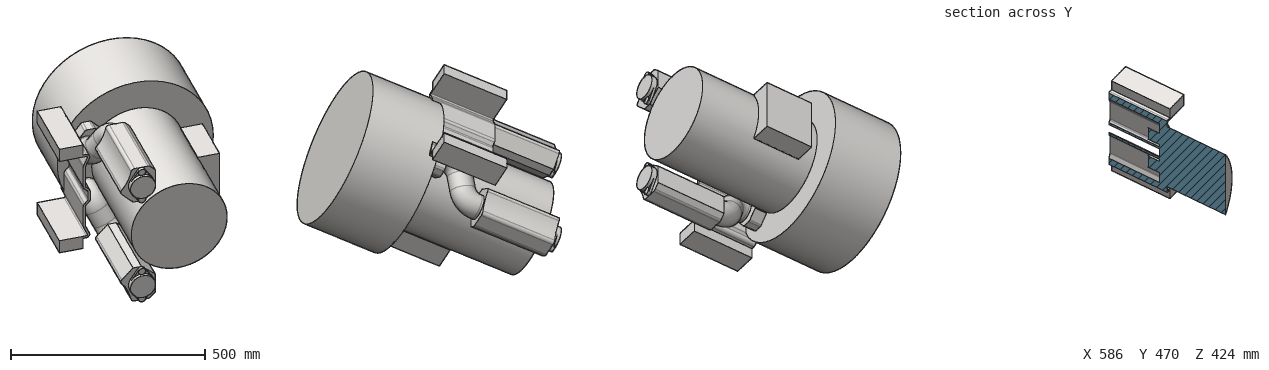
import cadquery as cq
import math


length = 586.0
depth = 470.0
drum_length = 206.5
drum_radius = 424.0 / 2
motor_end = 568.0
motor_radius = 130.0

box_x = 250.0
box_length = 140.5
box_front_y = 108.5
box_back_y = 167.5
box_height = 150.0

foot_end = 364.5
foot_x = 182.0
sheet = 6.5
face_y = -193.5
groove_y = -180.0
groove_half = 14.0
band_top = 94.0
flange_bend_y = -179.0
rail_bend_radius = 6.5
groove_bend_radius = 9.0
rail_bottom = 124.0
rail_height = 38.0
rail_back_y = -194.0
rail_front_y = drum_radius - depth

block_end = 242.0
block_top = 118.0
block_shoulder = 64.5
block_front_y = face_y + sheet
block_top_front_y = -146.5
block_top_back_y = -121.5
block_back_y = -95.5
block_notch_half = 29.5
block_edge_round = 8.0
pipe_radius = 33.5
pipe_bend_radius = 50.0
pipe_lead = 38.5
port_y = -145.5
port_z = 65.5

silencer_x = 361.5
silencer_end = 569.5
silencer_y = -104.5
silencer_z = 155.5
silencer_half_height = 52.0
silencer_chamfer = 16.0
silencer_back = 38.5
silencer_back_low = -20.5
silencer_top_front = -26.0
silencer_hollow = (-34.0, 21.5)
silencer_nose = (-58.5, -14.5)
silencer_bottom_front = -21.5
silencer_bottom_back = 1.0
silencer_edge_round = 10.0
nozzle_radius = 34.0
flange_end = 577.0
flange_boss_end = 579.5
flange_lobe_radius = 10.0
lobe_z = silencer_half_height - flange_lobe_radius


def block_between(x0, x1, y0, y1, z0, z1):
    """Box between opposite corner coordinates."""
    return cq.Workplane("XY").box(x1 - x0, y1 - y0, z1 - z0, centered=False).translate((x0, y0, z0))


def along_x(radius, x0, x1, y=0, z=0):
    """Cylinder parallel to X."""
    return cq.Workplane("YZ", origin=(x0, y, z)).circle(radius).extrude(x1 - x0)


def make_foot_sheet():
    """Bent sheet, grown both ways from its centre line in the YZ plane."""
    half = sheet / 2
    band_y = face_y + half
    floor_y = groove_y + half
    groove_depth = groove_y - face_y
    upper = [
        (rail_back_y - sheet, rail_bottom + half),
        (flange_bend_y + half, rail_bottom + half),
        (band_y, band_top),
        (band_y, groove_half + groove_depth),
        (floor_y, groove_half),
    ]
    lower = [(y, -z) for y, z in reversed(upper)]
    points = [cq.Vector(foot_x, y, z) for y, z in upper + lower]
    centre_line = cq.Wire.makePolygon(points)
    bends = [v for v in centre_line.Vertices() if v.Y > rail_back_y - half]
    rail_bends = [v for v in bends if abs(v.Z) > band_top - half]
    centre_line = centre_line.fillet2D(rail_bend_radius, rail_bends)
    groove_bends = [v for v in centre_line.Vertices() if abs(v.Z) < block_notch_half + half]
    centre_line = centre_line.fillet2D(groove_bend_radius, groove_bends)
    outline = centre_line.offset2D(half)[0]
    return cq.Workplane(cq.Solid.extrudeLinear(outline, [], cq.Vector(foot_end - foot_x, 0, 0)))


def make_rail():
    """Upper rail of the foot."""
    return block_between(foot_x, foot_end, rail_front_y, rail_back_y, rail_bottom, rail_bottom + rail_height)


def make_port_block():
    """Block carrying both ports, chamfered along its top and bottom."""
    upper = [
        (groove_y + sheet, block_notch_half),
        (block_front_y, block_notch_half),
        (block_front_y, block_shoulder),
        (block_top_front_y, block_top),
        (block_top_back_y, block_top),
        (block_back_y, block_top - (block_back_y - block_top_back_y)),
    ]
    lower = [(y, -z) for y, z in reversed(upper)]
    block = cq.Workplane("YZ", origin=(drum_length, 0, 0)).polyline(upper + lower).close()
    block = block.extrude(block_end - drum_length)
    return block.edges("|X and (>Z or <Z)").fillet(block_edge_round)


def make_pipe():
    """Upper S-bend from the port block to the silencer."""
    run = silencer_x - block_end
    rise_y = silencer_y - port_y
    rise_z = silencer_z - port_z
    rise = math.hypot(rise_y, rise_z)
    bend = math.atan2(rise, run - 2 * pipe_lead)
    tangent = pipe_bend_radius * math.tan(bend / 2)
    stub = pipe_lead - tangent
    arc_end = (pipe_lead + tangent * math.cos(bend), tangent * math.sin(bend))
    plane = cq.Plane(
        origin=(block_end, port_y, port_z),
        xDir=(1, 0, 0),
        normal=(0, -rise_z, rise_y),
    )
    path = (
        cq.Workplane(plane)
        .lineTo(stub, 0)
        .tangentArcPoint(arc_end, relative=False)
        .lineTo(run - arc_end[0], rise - arc_end[1])
        .tangentArcPoint((run - stub, rise), relative=False)
        .lineTo(run, rise)
    )
    return cq.Workplane("YZ", origin=(block_end, port_y, port_z)).circle(pipe_radius).sweep(path)


def make_blower():
    """Drum, motor, terminal box, port block, foot and pipes in one solid."""
    blower = along_x(drum_radius, 0, drum_length)
    blower = blower.union(along_x(motor_radius, drum_length, motor_end))
    blower = blower.union(
        block_between(box_x, box_x + box_length, box_front_y, box_back_y, -box_height / 2, box_height / 2)
    )
    blower = blower.union(make_port_block())
    blower = blower.union(make_foot_sheet())
    for upper_part in (make_rail(), make_pipe()):
        blower = blower.union(upper_part).union(upper_part.mirror("XY"))
    return blower


def make_flange():
    """Upright flange: the nozzle circle joined to two bossed lobes by tangent sides."""
    tilt = math.asin((nozzle_radius - flange_lobe_radius) / lobe_z)
    side_y = nozzle_radius * math.cos(tilt)
    side_z = nozzle_radius * math.sin(tilt)
    lobe_side_y = flange_lobe_radius * math.cos(tilt)
    lobe_side_z = lobe_z + flange_lobe_radius * math.sin(tilt)
    flange = (
        cq.Workplane("YZ", origin=(silencer_end, silencer_y, silencer_z))
        .moveTo(side_y, side_z)
        .lineTo(lobe_side_y, lobe_side_z)
        .threePointArc((0, silencer_half_height), (-lobe_side_y, lobe_side_z))
        .lineTo(-side_y, side_z)
        .threePointArc((-nozzle_radius, 0), (-side_y, -side_z))
        .lineTo(-lobe_side_y, -lobe_side_z)
        .threePointArc((0, -silencer_half_height), (lobe_side_y, -lobe_side_z))
        .lineTo(side_y, -side_z)
        .threePointArc((nozzle_radius, 0), (side_y, side_z))
        .close()
        .extrude(flange_end - silencer_end)
    )
    for boss_z in (silencer_z - lobe_z, silencer_z + lobe_z):
        boss = along_x(flange_lobe_radius, silencer_end, flange_boss_end, silencer_y, boss_z)
        flange = flange.union(boss)
    return flange


def make_silencer():
    """Upper silencer: shell with a hollowed front, flange and nozzle."""
    h = silencer_half_height
    shell = (
        cq.Workplane("YZ", origin=(silencer_x, silencer_y, silencer_z))
        .moveTo(silencer_back - silencer_chamfer, h)
        .lineTo(silencer_top_front, h)
        .threePointArc(silencer_hollow, silencer_nose)
        .lineTo(silencer_bottom_front, -h)
        .lineTo(silencer_bottom_back, -h)
        .lineTo(silencer_back, silencer_back_low)
        .lineTo(silencer_back, h - silencer_chamfer)
        .close()
        .extrude(silencer_end - silencer_x)
    )
    shell = shell.edges("|X and (>Z or <Y)").fillet(silencer_edge_round)
    nozzle = along_x(nozzle_radius, silencer_end, length, silencer_y, silencer_z)
    return shell.union(make_flange()).union(nozzle)


def make_silencers():
    """Upper and lower silencers as separate solids."""
    upper = make_silencer()
    silencers = []
    for silencer in (upper, upper.mirror("XY")):
        silencers.append(silencer.val())
    return silencers


blower = make_blower()
silencers = make_silencers()
result = cq.Compound.makeCompound([blower.val(), *silencers])